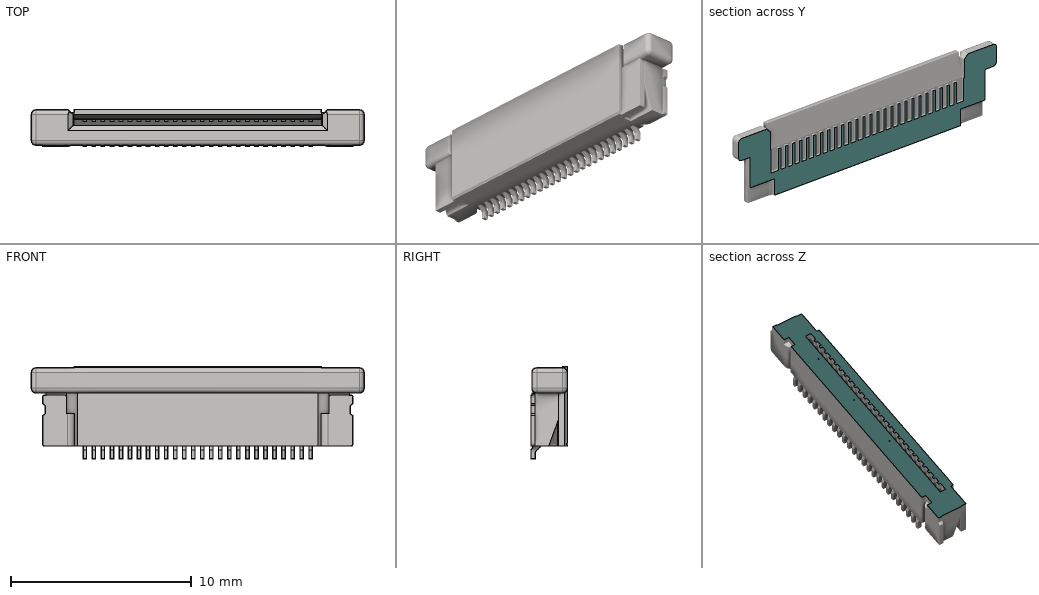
import cadquery as cq


BAR_LENGTH = 18.43
BAR_FRONT = 0.05
BAR_BACK = 2.03
BAR_BOTTOM = 3.65
BAR_TOP = 5.05
BAR_RADIUS = 0.28

SLOT_HALF_LENGTH = 6.9
SLOT_FRONT = 1.16
SLOT_FLOOR = 2.21
RIM_CHAMFER = 0.28

WALL_BACK = 2.05
TONGUE_HALF_LENGTH = 6.84
TONGUE_TOP = 5.1
TONGUE_FRONT = 1.5
SLOPE_DEPTH = 0.28
SLOPE_HEIGHT = 1.55
GROOVE_BOTTOM = 0.75
GROOVE_HEIGHT = 0.15
GROOVE_DEPTH = 0.07

HOUSING_HALF_LENGTH = 8.4
COLUMN_HALF_LENGTH = 8.37
HOUSING_FRONT = 0.24
HOUSING_BACK = 1.88
HOUSING_BOTTOM = 0.72
RELIEF_FLOOR = 0.31
BLOCK_HALF_LENGTH = 6.65
NOTCH_BACK = 1.55
NOTCH_FRONT = 1.0
NOTCH_TOP = 2.21

PLATE_OUTER = 8.59
PLATE_INNER = 7.26
PLATE_TOP = 3.54
PLATE_CORNER_RADIUS = 0.11
LEG_INNER = 6.8
LEG_TOP = 2.52
BEND_RADIUS = 0.4
EDGE_NOTCH_FLOOR = 8.45
EDGE_NOTCH_BOTTOM = 2.4
EDGE_NOTCH_TOP = 3.06
EDGE_NOTCH_TAPER = 0.11

CONTACT_COUNT = 26
CONTACT_SPAN = 12.5
CONTACT_PITCH = CONTACT_SPAN / (CONTACT_COUNT - 1)
CONTACT_WIDTH = 0.2
TAIL_THICKNESS = 0.25
TAIL_BEND_FRONT = 0.5
TAIL_BEND_BACK = 0.4
TAIL_ROOT_FRONT = 0.15
TAIL_ROOT_BACK = 0.57
SPRING_FRONT = 1.36
SPRING_TOP = TONGUE_TOP - SLOPE_HEIGHT


def block(x_range, y_range, z_range):
    """Box between two limits on each axis."""
    size = [high - low for low, high in (x_range, y_range, z_range)]
    corner = (x_range[0], y_range[0], z_range[0])
    return cq.Workplane("XY").box(*size, centered=False).translate(corner)


def centered_block(half_length, y_range, z_range):
    """Box symmetric about the middle of the length."""
    return block((-half_length, half_length), y_range, z_range)


def extrude_along_x(points, half_length):
    """Extrude a (y, z) outline symmetrically about the middle of the length."""
    return cq.Workplane("YZ").polyline(points).close().extrude(half_length, both=True)


def make_bar():
    bar = centered_block(BAR_LENGTH / 2, (BAR_FRONT, BAR_BACK), (BAR_BOTTOM, BAR_TOP))
    return bar.edges().fillet(BAR_RADIUS)


def make_housing():
    height = (HOUSING_BOTTOM, BAR_BOTTOM + BAR_RADIUS)
    ends = centered_block(HOUSING_HALF_LENGTH, (HOUSING_FRONT, NOTCH_BACK), height)
    columns = centered_block(COLUMN_HALF_LENGTH, (NOTCH_BACK, HOUSING_BACK), height)
    relief = centered_block(PLATE_INNER, (HOUSING_FRONT, RELIEF_FLOOR), (HOUSING_BOTTOM, BAR_BOTTOM))
    center = centered_block(
        BLOCK_HALF_LENGTH, (BAR_FRONT, HOUSING_BACK), (HOUSING_BOTTOM, BAR_BOTTOM)
    )
    notch = extrude_along_x(
        [(NOTCH_BACK, HOUSING_BOTTOM), (NOTCH_FRONT, HOUSING_BOTTOM), (NOTCH_BACK, NOTCH_TOP)],
        HOUSING_HALF_LENGTH,
    )
    return ends.cut(relief).cut(notch).union(columns).union(center)


def make_slot_cutter():
    """Cable slot through the bar and its sloped rim, both flared and open at the back."""
    slot = (
        cq.Workplane("XY", origin=(0, 0, BAR_BOTTOM))
        .polyline(
            [
                (-SLOT_HALF_LENGTH, SLOT_FRONT),
                (SLOT_HALF_LENGTH, SLOT_FRONT),
                (SLOT_HALF_LENGTH, BAR_BACK - RIM_CHAMFER),
                (SLOT_HALF_LENGTH + RIM_CHAMFER, BAR_BACK),
                (-SLOT_HALF_LENGTH - RIM_CHAMFER, BAR_BACK),
                (-SLOT_HALF_LENGTH, BAR_BACK - RIM_CHAMFER),
            ]
        )
        .close()
        .extrude(BAR_TOP - BAR_BOTTOM)
    )
    cable = centered_block(TONGUE_HALF_LENGTH, (SLOT_FRONT, TONGUE_FRONT), (SLOT_FLOOR, BAR_TOP))
    slot_depth = BAR_BACK - SLOT_FRONT
    rim = (
        cq.Workplane("XY", origin=(0, BAR_BACK, BAR_TOP - RIM_CHAMFER))
        .rect(2 * SLOT_HALF_LENGTH, 2 * slot_depth)
        .workplane(offset=RIM_CHAMFER)
        .rect(2 * (SLOT_HALF_LENGTH + RIM_CHAMFER), 2 * (slot_depth + RIM_CHAMFER))
        .loft()
    )
    return slot.union(cable).union(rim)


def make_tongue():
    """Back wall with the sloped tongue on top and a small groove near its foot."""
    outline = [
        (TONGUE_FRONT, HOUSING_BOTTOM),
        (WALL_BACK, HOUSING_BOTTOM),
        (WALL_BACK, GROOVE_BOTTOM),
        (WALL_BACK - GROOVE_DEPTH, GROOVE_BOTTOM + GROOVE_HEIGHT / 2),
        (WALL_BACK, GROOVE_BOTTOM + GROOVE_HEIGHT),
        (WALL_BACK, TONGUE_TOP),
        (TONGUE_FRONT + SLOPE_DEPTH, TONGUE_TOP),
        (TONGUE_FRONT, TONGUE_TOP - SLOPE_HEIGHT),
    ]
    return extrude_along_x(outline, TONGUE_HALF_LENGTH)


def make_hold_down():
    """Plate at the +X end, with an edge notch and a leg bent back into the housing."""
    plate = block((PLATE_INNER, PLATE_OUTER), (0, HOUSING_FRONT), (HOUSING_BOTTOM, PLATE_TOP))
    plate = plate.edges("|Y and (>Z or (<Z and >X))").fillet(PLATE_CORNER_RADIUS)
    edge_notch = (
        cq.Workplane("XZ")
        .polyline(
            [
                (PLATE_OUTER, EDGE_NOTCH_BOTTOM),
                (EDGE_NOTCH_FLOOR, EDGE_NOTCH_BOTTOM + EDGE_NOTCH_TAPER),
                (EDGE_NOTCH_FLOOR, EDGE_NOTCH_TOP - EDGE_NOTCH_TAPER),
                (PLATE_OUTER, EDGE_NOTCH_TOP),
            ]
        )
        .close()
        .extrude(-HOUSING_FRONT)
    )
    leg = (
        cq.Workplane("XY", origin=(0, 0, HOUSING_BOTTOM))
        .moveTo(LEG_INNER, BEND_RADIUS)
        .radiusArc((LEG_INNER + BEND_RADIUS, 0), -BEND_RADIUS)
        .lineTo(PLATE_INNER, 0)
        .lineTo(PLATE_INNER, BEND_RADIUS)
        .close()
        .extrude(LEG_TOP - HOUSING_BOTTOM)
    )
    return plate.cut(edge_notch).union(leg)


def make_contact():
    """Cranked solder tail below the housing and a spring beam standing in the slot."""
    tail_outline = [
        (0, 0),
        (0, TAIL_BEND_FRONT),
        (TAIL_ROOT_FRONT, HOUSING_BOTTOM),
        (TAIL_ROOT_BACK, HOUSING_BOTTOM),
        (TAIL_THICKNESS, TAIL_BEND_BACK),
        (TAIL_THICKNESS, 0),
    ]
    spring = centered_block(CONTACT_WIDTH / 2, (SPRING_FRONT, TONGUE_FRONT), (SLOT_FLOOR, SPRING_TOP))
    return extrude_along_x(tail_outline, CONTACT_WIDTH / 2).union(spring)


result = make_bar().union(make_housing()).cut(make_slot_cutter()).union(make_tongue())

hold_down = make_hold_down()
result = result.union(hold_down).union(hold_down.mirror("YZ"))

contact = make_contact()
for index in range(CONTACT_COUNT):
    contact_x = index * CONTACT_PITCH - CONTACT_SPAN / 2
    result = result.union(contact.translate((contact_x, 0, 0)))